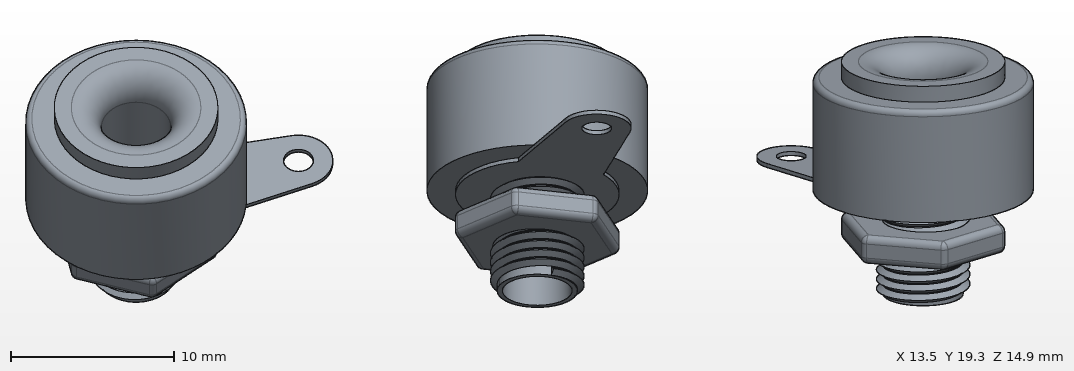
import cadquery as cq
import math

body_diameter = 13.54
body_height = 7.18
body_top_fillet = 0.38
collar_diameter = 10.03
collar_height = 1.02
washer_thickness = 0.26
collar_top = washer_thickness + body_height + collar_height

bore_diameter = 4.27
mouth_diameter = 7.94
mouth_radius = (mouth_diameter - bore_diameter) / 2

tag_reach = 12.55
tag_tip_radius = 2.11
tag_root_radius = 3.2
tag_hole_diameter = 1.83
tag_tip_center = tag_reach - tag_tip_radius

stud_length = 6.48
stud_diameter = 4.92
crest_diameter = 5.75
thread_pitch = 0.61
thread_base_width = 0.54
thread_turns = 10.75
thread_embed = 0.04
thread_start_angle = 90

nut_across_flats = 9.07
nut_thickness = 1.8
nut_top = -1.64
nut_fillet = 0.45
nut_sides = 6
nut_turn_angle = -6


def disc(diameter, bottom, height):
    """Solid cylinder on the Z axis."""
    return cq.Workplane("XY").workplane(offset=bottom).circle(diameter / 2).extrude(height)


def make_body():
    """Round body with a filleted top rim and a raised collar."""
    body = disc(body_diameter, washer_thickness, body_height)
    body = body.faces(">Z").edges().fillet(body_top_fillet)
    return body.union(disc(collar_diameter, washer_thickness + body_height, collar_height))


def make_solder_tag():
    """Contact washer with a tapered tag whose sides are tangent to its root and tip circles."""
    taper = math.asin((tag_root_radius - tag_tip_radius) / tag_tip_center)
    side_x = math.cos(taper)
    side_y = math.sin(taper)
    root = (tag_root_radius * side_x, tag_root_radius * side_y)
    tip = (tag_tip_radius * side_x, tag_tip_center + tag_tip_radius * side_y)
    tag = (
        cq.Workplane("XY")
        .moveTo(-root[0], root[1])
        .lineTo(root[0], root[1])
        .lineTo(tip[0], tip[1])
        .threePointArc((0, tag_reach), (-tip[0], tip[1]))
        .close()
        .extrude(washer_thickness)
    )
    hole = disc(tag_hole_diameter, 0, washer_thickness).translate((0, tag_tip_center, 0))
    return disc(collar_diameter, 0, washer_thickness).union(tag).cut(hole)


def make_thread():
    """Single-start right-hand V thread, its foot sunk slightly into the stud."""
    core_radius = stud_diameter / 2
    crest_radius = crest_diameter / 2
    foot_radius = core_radius - thread_embed
    half_base = thread_base_width / 2
    half_foot = half_base * (crest_radius - foot_radius) / (crest_radius - core_radius)
    helix = cq.Wire.makeHelix(thread_pitch, thread_pitch * thread_turns, core_radius)
    ridge = (
        cq.Workplane("XZ")
        .moveTo(foot_radius, -half_foot)
        .lineTo(crest_radius, 0)
        .lineTo(foot_radius, half_foot)
        .close()
        .sweep(cq.Workplane(obj=helix), isFrenet=True)
    )
    ridge = ridge.rotate((0, 0, 0), (0, 0, 1), thread_start_angle)
    return ridge.translate((0, 0, half_base - stud_length))


def make_nut():
    """Hexagonal nut with every outer edge rounded."""
    across_corners = nut_across_flats / math.cos(math.pi / nut_sides)
    nut = cq.Workplane("XY").polygon(nut_sides, across_corners).extrude(-nut_thickness)
    nut = nut.edges().fillet(nut_fillet)
    return nut.rotate((0, 0, 0), (0, 0, 1), nut_turn_angle).translate((0, 0, nut_top))


def make_bore():
    """Cutter for the through bore and its convex bell mouth."""
    bore_radius = bore_diameter / 2
    mouth_bottom = collar_top - mouth_radius
    arc_step = mouth_radius * (1 - math.sqrt(0.5))
    return (
        cq.Workplane("XZ")
        .moveTo(0, -stud_length)
        .lineTo(bore_radius, -stud_length)
        .lineTo(bore_radius, mouth_bottom)
        .threePointArc((bore_radius + arc_step, collar_top - arc_step), (mouth_diameter / 2, collar_top))
        .lineTo(0, collar_top)
        .close()
        .revolve(360, (0, 0, 0), (0, 1, 0))
    )


def make_stud():
    """Threaded stud, trimmed flush at its lower end and at the washer."""
    core = disc(stud_diameter, -stud_length, stud_length)
    envelope = disc(body_diameter, -stud_length, stud_length)
    return core.union(make_thread(), clean=False).intersect(envelope, clean=False)


fitting = make_body().union(make_solder_tag())
result = fitting.union(make_stud(), clean=False).union(make_nut(), clean=False).cut(make_bore(), clean=False)